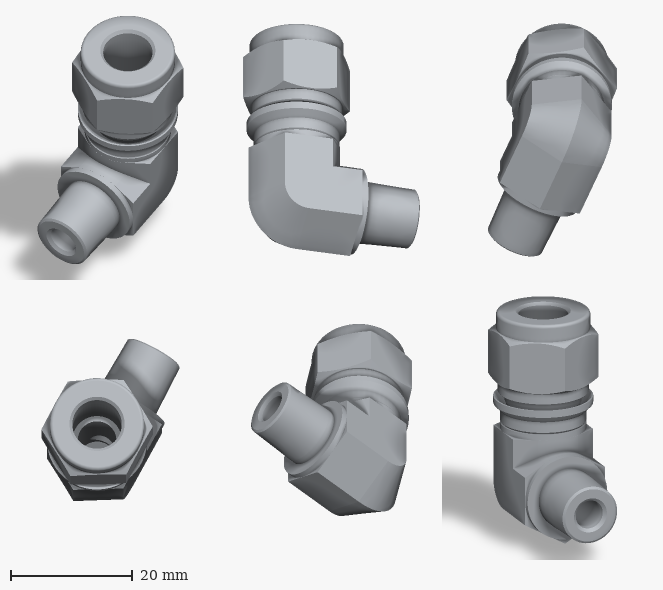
import cadquery as cq
import math


body_flats = 14.3
body_length = 9.2
collar_dia = 14.25
collar_end = 10.2

overall_height = 37.63
overall_depth = 28.98

seat_dia = 14.2
seat_relief = 0.35
seat_top = 12.38
flange_dia = 16.5
flange_top = 14.7
dish_dia = 15.9
dish_root_dia = 11.4
neck_dia = 12.7
neck_bottom = 13.92
ring_dia = 15.0
ring_bottom = 15.4
ring_chamfer = 0.23

nut_flats = 15.88
nut_bottom = 17.42
nut_top = 26.45
nut_cap_dia = 15.5
nut_cap_fillet = 0.53
nut_chamfer_angle = math.radians(30)

branch_dia = 10.27
branch_straight_end = 11.4
branch_taper = 1 / 16
branch_chamfer_length = 0.25
branch_face_dia = 9.0

tube_socket_dia = 8.13
tube_socket_mouth_dia = 9.07
tube_socket_floor = 14.68
tube_bore_dia = 6.35
branch_bore_dia = 4.8
branch_mouth_dia = 5.87
bore_overrun = 3.4

body_radius = body_flats / 2
collar_radius = collar_dia / 2
body_corner = body_flats / math.sqrt(3)
nut_corner = nut_flats / math.sqrt(3)
top = overall_height - body_corner
branch_end = overall_depth - nut_corner


def turned(profile):
    """Solid of revolution about Z from (radius, height) points on its outer side."""
    points = [(0, profile[0][1])] + profile + [(0, profile[-1][1])]
    return cq.Workplane("XZ").polyline(points).close().revolve(360, (0, 0), (0, 1))


def to_branch(solid):
    """Turn a solid built along +Z so that it lies along -Y."""
    return solid.rotate((0, 0, 0), (1, 0, 0), 90)


def hexagon(flats, height):
    """Hexagonal prism standing on Z = 0 with corners on the Y axis."""
    corner_dia = 2 * flats / math.sqrt(3)
    return cq.Workplane("XY").polygon(6, corner_dia).extrude(height).rotate((0, 0, 0), (0, 0, 1), 90)


def elbow_arm(inner_side):
    """Hexagonal arm whose corner on the inside of the elbow is rounded to the circle inside the flats."""
    tangent_x = body_radius * math.cos(math.radians(60))
    tangent_y = inner_side * body_radius * math.sin(math.radians(60))
    return (
        cq.Workplane("XY")
        .moveTo(tangent_x, tangent_y)
        .lineTo(body_radius, inner_side * body_corner / 2)
        .lineTo(body_radius, -inner_side * body_corner / 2)
        .lineTo(0, -inner_side * body_corner)
        .lineTo(-body_radius, -inner_side * body_corner / 2)
        .lineTo(-body_radius, inner_side * body_corner / 2)
        .lineTo(-tangent_x, tangent_y)
        .threePointArc((0, inner_side * body_radius), (tangent_x, tangent_y))
        .close()
        .extrude(body_length)
    )


def elbow_bend():
    """Outer half of the hexagon swept a quarter turn about X to join the two arms."""
    half_hexagon = [
        (-body_radius, 0),
        (-body_radius, body_corner / 2),
        (0, body_corner),
        (body_radius, body_corner / 2),
        (body_radius, 0),
    ]
    return cq.Workplane("XY").polyline(half_hexagon).close().revolve(90, (0, 0), (-1, 0))


def tube_stack():
    """Collar, relieved seat, dished flange, neck and ring below the nut."""
    seat_radius = seat_dia / 2
    flange_radius = flange_dia / 2
    ring_radius = ring_dia / 2
    dish_radius = dish_dia / 2
    root_radius = dish_root_dia / 2
    flange_bottom = seat_top + flange_radius - seat_radius
    return turned([
        (collar_radius, body_length),
        (collar_radius, collar_end),
        (seat_radius - seat_relief, collar_end),
        (seat_radius, collar_end + seat_relief),
        (seat_radius, seat_top),
        (flange_radius, flange_bottom),
        (flange_radius, flange_top),
        (dish_radius, flange_top),
        (root_radius, flange_top - (dish_radius - root_radius)),
        (neck_dia / 2, neck_bottom),
        (neck_dia / 2, ring_bottom),
        (ring_radius - ring_chamfer, ring_bottom),
        (ring_radius, ring_bottom + ring_chamfer),
        (ring_radius, nut_bottom),
    ])


def nut():
    """Hexagon with conically chamfered corners and a round, filleted cap."""
    cap_radius = nut_cap_dia / 2
    chamfer_drop = (nut_corner - cap_radius) * math.tan(nut_chamfer_angle)
    envelope = turned([
        (cap_radius, nut_bottom),
        (nut_corner, nut_bottom + chamfer_drop),
        (nut_corner, nut_top - chamfer_drop),
        (cap_radius, nut_top),
    ])
    grip = hexagon(nut_flats, nut_top - nut_bottom).translate((0, 0, nut_bottom)).intersect(envelope)
    cap = cq.Workplane("XY").workplane(offset=nut_bottom).circle(cap_radius).extrude(top - nut_bottom)
    return grip.union(cap.faces(">Z").edges().fillet(nut_cap_fillet))


def branch():
    """Collar followed by the tapered end with its chamfered tip."""
    tip_start = branch_end - branch_chamfer_length
    tip_dia = branch_dia - branch_taper * (tip_start - branch_straight_end)
    return to_branch(turned([
        (collar_radius, body_length),
        (collar_radius, collar_end),
        (branch_dia / 2, collar_end),
        (branch_dia / 2, branch_straight_end),
        (tip_dia / 2, tip_start),
        (branch_face_dia / 2, branch_end),
    ]))


def tube_passage():
    """Countersunk tube socket above a narrower bore that runs just past the branch bore."""
    socket_radius = tube_socket_dia / 2
    mouth_radius = tube_socket_mouth_dia / 2
    bore_radius = tube_bore_dia / 2
    return turned([
        (bore_radius, -bore_overrun),
        (bore_radius, tube_socket_floor),
        (socket_radius, tube_socket_floor),
        (socket_radius, top - (mouth_radius - socket_radius)),
        (mouth_radius, top),
    ])


def branch_passage():
    """Countersunk branch bore running just past the far side of the tube bore."""
    bore_radius = branch_bore_dia / 2
    mouth_radius = branch_mouth_dia / 2
    return to_branch(turned([
        (bore_radius, -bore_overrun),
        (bore_radius, branch_end - (mouth_radius - bore_radius)),
        (mouth_radius, branch_end),
    ]))


body = elbow_arm(inner_side=-1).union(to_branch(elbow_arm(inner_side=1))).union(elbow_bend())
tube_end = tube_stack().union(nut())
fitting = body.union(tube_end).union(branch())
result = fitting.cut(tube_passage()).cut(branch_passage())